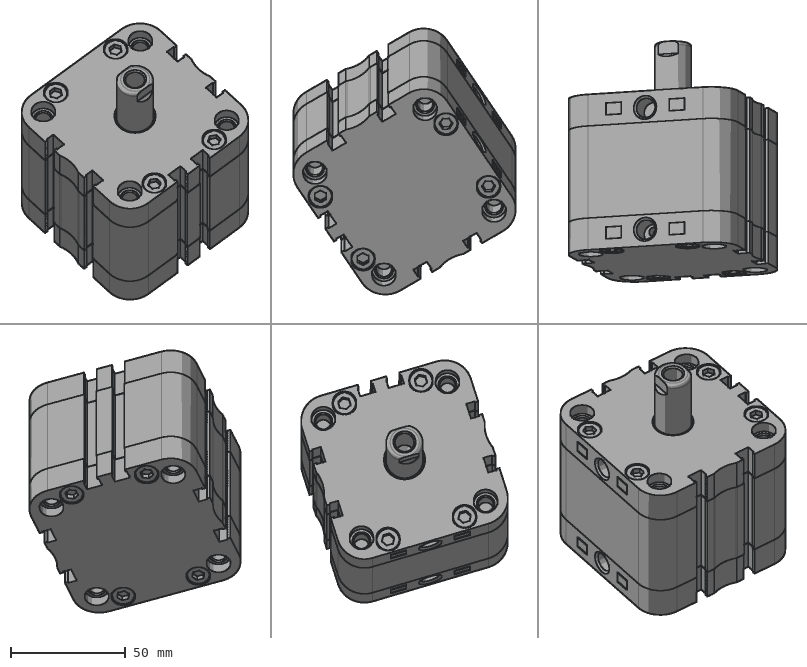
import cadquery as cq
import math

WIDTH = 77.0
HALF = WIDTH / 2
CORNER_RADIUS = 12.0
TOTAL_HEIGHT = 97
CAP_HEIGHT = 14.1
BARREL_HEIGHT = 40.9
CAP_GROOVE_CLEARANCE = 0.2

SLOT_NECK_WIDTH = 5.5
SLOT_CHAMBER_WIDTH = 6.6
SLOT_LIP = 1.5
SLOT_DEPTH = 5.1
WIDE_PAIR_OFFSET = 12.8
NARROW_PAIR_OFFSET = 6.5

SCALLOP_CHORD = 12.0
SCALLOP_DEPTH = 1.2
SCALLOP_EDGE_RADIUS = 1.9

MOUNT_OFFSET = 28.3
MOUNT_BORE_DIAMETER = 10.5
MOUNT_BORE_DEPTH = 5.0
MOUNT_CHAMFER_DIAMETER = 8.0
MOUNT_HOLE_DIAMETER = 6.7

SCREW_X = 32.3
SCREW_Y = 17.5
SCREW_RING_DIAMETER = 10.5
SCREW_HEAD_DIAMETER = 9.8
SCREW_RING_DEPTH = 1.5
SCREW_HEAD_INSET = 0.5
SOCKET_WIDTH = 4.9
SOCKET_DEPTH = 2.4

PORT_INSET = 7.5
PORT_DIAMETER = 8.5
PORT_MOUTH_DIAMETER = 10.5
PORT_DEPTH = 11.6
PASSAGE_DIAMETER = 4.0
PASSAGE_SHIFT = 1
PASSAGE_DEPTH = 5.8

LABEL_WIDTH = 7.0
LABEL_HEIGHT = 5.2
LABEL_OFFSET = 14.55
LABEL_INSET = 7.0
LABEL_DEPTH = 0.3

ROD_DIAMETER = 16.0
ROD_END_RADIUS = 1.65
FLAT_WIDTH = 13.2
FLAT_LENGTH = 5.6
ROD_HOLE_DIAMETER = 8.3
ROD_HOLE_MOUTH_DIAMETER = 9.8
ROD_HOLE_DEPTH = 19.4
DRILL_POINT_ANGLE = 118
WIPER_MOUTH_DIAMETER = 18.0
WIPER_DIAMETER = 17.7
WIPER_DEPTH = 0.4
WIPER_STEP_DIAMETER = 16.6
WIPER_STEP_DEPTH = 1


def cone_between(lower_diameter, upper_diameter, height):
    """Upright truncated cone standing on Z = 0."""
    return cq.Workplane(cq.Solid.makeCone(lower_diameter / 2, upper_diameter / 2, height))


def slot_cutter(side_angle, offset, height, clearance):
    """One undercut slot, placed along the side that faces `side_angle`, seen from +X."""
    neck_width = SLOT_NECK_WIDTH + 2 * clearance
    chamber_width = SLOT_CHAMBER_WIDTH + 2 * clearance
    depth = SLOT_DEPTH + clearance
    neck = cq.Workplane().box(depth, neck_width, height, centered=(False, True, False))
    chamber = cq.Workplane().box(
        depth - SLOT_LIP, chamber_width, height, centered=(False, True, False)
    )
    slot = neck.union(chamber).translate((HALF - depth, offset, 0))
    return slot.rotate((0, 0, 0), (0, 0, 1), side_angle)


def scalloped_block(height, edge_radius):
    """Rounded square block with a shallow scallop in the -Y and +Y sides."""
    block = cq.Workplane().box(WIDTH, WIDTH, height, centered=(True, True, False))
    block = block.edges("|Z").fillet(CORNER_RADIUS)
    half_chord = SCALLOP_CHORD / 2
    scallop_radius = (half_chord**2 + SCALLOP_DEPTH**2) / (2 * SCALLOP_DEPTH)
    axis_y = HALF - SCALLOP_DEPTH + scallop_radius
    for side in (-1, 1):
        block = block.cut(cq.Workplane().center(0, side * axis_y).circle(scallop_radius).extrude(height))
    if edge_radius:
        reach = half_chord + SCALLOP_DEPTH
        middle = cq.selectors.BoxSelector((-reach, -WIDTH, -1), (reach, WIDTH, height + 1))
        block = block.edges("|Z").edges(middle).fillet(edge_radius)
    return block


def body_section(height, clearance=0.0, edge_radius=0.0):
    """Body profile with all its slots, standing on Z = 0."""
    section = scalloped_block(height, edge_radius)
    for side_angle, spacing in ((0, NARROW_PAIR_OFFSET), (90, WIDE_PAIR_OFFSET), (-90, WIDE_PAIR_OFFSET)):
        for offset in (-spacing, spacing):
            section = section.cut(slot_cutter(side_angle, offset, height, clearance))
    return section


def mount_hole_cutter():
    """Counterbored, chamfered mounting hole through a cap, hanging from its outer face."""
    chamfer = (MOUNT_CHAMFER_DIAMETER - MOUNT_HOLE_DIAMETER) / 2
    bore = cq.Workplane().circle(MOUNT_BORE_DIAMETER / 2).extrude(-MOUNT_BORE_DEPTH)
    hole = cq.Workplane().circle(MOUNT_HOLE_DIAMETER / 2).extrude(-CAP_HEIGHT)
    countersink = cone_between(MOUNT_HOLE_DIAMETER, MOUNT_CHAMFER_DIAMETER, chamfer)
    return bore.union(hole).union(countersink.translate((0, 0, -MOUNT_BORE_DEPTH - chamfer)))


def screw_cutter(turn):
    """Bore around a sunken screw head, and its hexagon socket, hanging from the cap's outer face."""
    bore = cq.Workplane().circle(SCREW_RING_DIAMETER / 2).extrude(-SCREW_RING_DEPTH)
    head_height = SCREW_RING_DEPTH - SCREW_HEAD_INSET
    head = cq.Workplane().circle(SCREW_HEAD_DIAMETER / 2).extrude(head_height)
    bore = bore.cut(head.translate((0, 0, -SCREW_RING_DEPTH)))
    across_corners = SOCKET_WIDTH / math.cos(math.radians(30))
    socket = cq.Workplane().polygon(6, across_corners).extrude(-SCREW_HEAD_INSET - SOCKET_DEPTH)
    return bore.union(socket.rotate((0, 0, 0), (0, 0, 1), turn))


def port_cutter():
    """Chamfered air port that runs in from the -X side."""
    chamfer = (PORT_MOUTH_DIAMETER - PORT_DIAMETER) / 2
    port = cq.Workplane().circle(PORT_DIAMETER / 2).extrude(PORT_DEPTH)
    port = port.union(cone_between(PORT_MOUTH_DIAMETER, PORT_DIAMETER, chamfer))
    return port.rotate((0, 0, 0), (0, 1, 0), 90).translate((-HALF, 0, CAP_HEIGHT - PORT_INSET))


def label_cutter(side):
    """Shallow rectangular label recess beside the port."""
    plate = cq.Workplane().box(2 * LABEL_DEPTH, LABEL_WIDTH, LABEL_HEIGHT)
    return plate.translate((-HALF, side * LABEL_OFFSET, CAP_HEIGHT - LABEL_INSET))


def make_cap():
    """Features shared by both caps; inner face on Z = 0 and outer face up."""
    cap = body_section(CAP_HEIGHT, clearance=CAP_GROOVE_CLEARANCE)
    for x_side in (-1, 1):
        socket_turn = 30 if x_side < 0 else 0
        for y_side in (-1, 1):
            mount_place = (x_side * MOUNT_OFFSET, y_side * MOUNT_OFFSET, CAP_HEIGHT)
            cap = cap.cut(mount_hole_cutter().translate(mount_place))
            screw_place = (x_side * SCREW_X, y_side * SCREW_Y, CAP_HEIGHT)
            cap = cap.cut(screw_cutter(socket_turn).translate(screw_place))
    for side in (-1, 1):
        cap = cap.cut(label_cutter(side))
    return cap.cut(port_cutter())


def rod_opening_cutter():
    """Rod hole with a stepped wiper seat, standing on the cap's inner face."""
    chamfer = (WIPER_MOUTH_DIAMETER - WIPER_DIAMETER) / 2
    seat_floor = CAP_HEIGHT - WIPER_DEPTH
    guide = cq.Workplane().circle(ROD_DIAMETER / 2).extrude(CAP_HEIGHT)
    step = cq.Workplane().circle(WIPER_STEP_DIAMETER / 2).extrude(-WIPER_STEP_DEPTH)
    seat = cq.Workplane().circle(WIPER_DIAMETER / 2).extrude(WIPER_DEPTH)
    mouth = cone_between(WIPER_DIAMETER, WIPER_MOUTH_DIAMETER, chamfer)
    opening = guide.union(step.translate((0, 0, seat_floor)))
    opening = opening.union(seat.translate((0, 0, seat_floor)))
    return opening.union(mouth.translate((0, 0, CAP_HEIGHT - chamfer)))


def make_front_cap():
    """Upper cap, which the piston rod passes through."""
    cap = make_cap().cut(rod_opening_cutter())
    return cap.translate((0, 0, CAP_HEIGHT + BARREL_HEIGHT))


def make_rear_cap():
    """Lower cap, with an air passage at the end of its port."""
    passage = cq.Workplane("YZ").circle(PASSAGE_DIAMETER / 2).extrude(PORT_DEPTH + PASSAGE_DEPTH)
    cap = make_cap().cut(passage.translate((-HALF, 0, CAP_HEIGHT - PORT_INSET - PASSAGE_SHIFT)))
    return cap.mirror("XY").translate((0, 0, CAP_HEIGHT))


def make_barrel():
    """Middle section between the caps."""
    barrel = body_section(BARREL_HEIGHT, edge_radius=SCALLOP_EDGE_RADIUS)
    return barrel.translate((0, 0, CAP_HEIGHT))


def flat_cutter():
    """Wrench flat on the +X side of the rod end, with a 45 degree run-out."""
    step = (ROD_DIAMETER - FLAT_WIDTH) / 2
    flat_bottom = TOTAL_HEIGHT - FLAT_LENGTH
    return (
        cq.Workplane("XZ")
        .moveTo(FLAT_WIDTH / 2, TOTAL_HEIGHT)
        .lineTo(FLAT_WIDTH / 2, flat_bottom)
        .lineTo(FLAT_WIDTH / 2 + step, flat_bottom - step)
        .lineTo(FLAT_WIDTH / 2 + step, TOTAL_HEIGHT)
        .close()
        .extrude(ROD_DIAMETER / 2, both=True)
    )


def rod_hole_cutter():
    """Chamfered blind hole with a drill point, hanging from the rod's end face."""
    radius = ROD_HOLE_DIAMETER / 2
    chamfer = (ROD_HOLE_MOUTH_DIAMETER - ROD_HOLE_DIAMETER) / 2
    point_length = radius / math.tan(math.radians(DRILL_POINT_ANGLE / 2))
    return (
        cq.Workplane("XZ")
        .lineTo(ROD_HOLE_MOUTH_DIAMETER / 2, 0)
        .lineTo(radius, -chamfer)
        .lineTo(radius, -ROD_HOLE_DEPTH)
        .lineTo(0, -ROD_HOLE_DEPTH - point_length)
        .close()
        .revolve(360, (0, 0, 0), (0, 1, 0))
    )


def make_piston_rod():
    """Piston rod, standing on the barrel and passing through the front cap."""
    rod_length = TOTAL_HEIGHT - CAP_HEIGHT - BARREL_HEIGHT
    rod = cq.Workplane().workplane(offset=TOTAL_HEIGHT).circle(ROD_DIAMETER / 2).extrude(-rod_length)
    rod = rod.faces(">Z").edges().fillet(ROD_END_RADIUS)
    for turn in (0, 180):
        rod = rod.cut(flat_cutter().rotate((0, 0, 0), (0, 0, 1), turn))
    return rod.cut(rod_hole_cutter().translate((0, 0, TOTAL_HEIGHT)))


front_cap = make_front_cap()
rear_cap = make_rear_cap()
barrel = make_barrel()
piston_rod = make_piston_rod()

result = cq.Compound.makeCompound([front_cap.val(), rear_cap.val(), barrel.val(), piston_rod.val()])